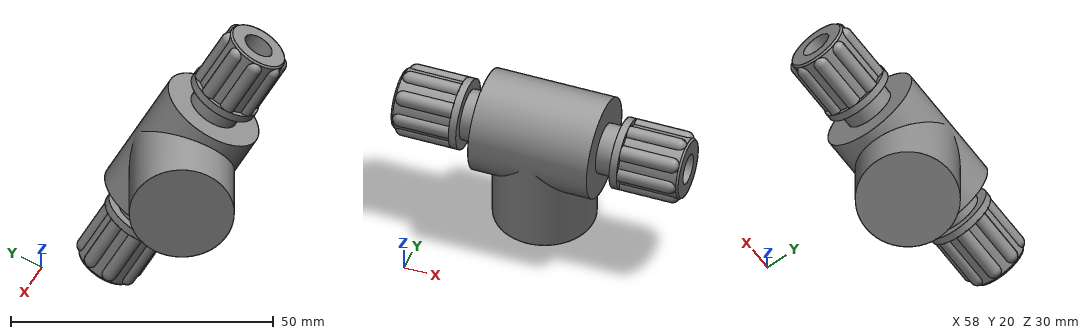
import cadquery as cq

body_diameter = 20.0
body_length = 24.0
branch_depth = 20.0

overall_length = 58
neck_diameter = 10.0
cap_length = 13.5
collar_diameter = 14.0
collar_width = 1.5
grip_diameter = 12.0
lip_diameter = 11.4
lip_width = 0.4

rib_count = 8
rib_radius = 1.5
rib_end_inset = 1.8

cap_bore_diameter = 6.0
seat_bore_diameter = 4.0
through_bore_diameter = 3.4
seat_depth = 1.5

half_length = overall_length / 2
cap_start = half_length - cap_length
grip_start = cap_start + collar_width
rib_end = half_length - rib_end_inset
rib_centre_radius = collar_diameter / 2 - rib_radius


def x_cylinder(diameter, start, end):
    """Cylinder on the X axis between two positions."""
    return cq.Workplane("YZ", origin=(start, 0, 0)).circle(diameter / 2).extrude(end - start)


def make_body():
    barrel = x_cylinder(body_diameter, -body_length / 2, body_length / 2)
    branch = cq.Workplane("XY").circle(body_diameter / 2).extrude(-branch_depth)
    neck = x_cylinder(neck_diameter, -cap_start, cap_start)
    return barrel.union(branch).union(neck)


def make_rib():
    rod = cq.Workplane("YZ", origin=(grip_start, 0, rib_centre_radius))
    rod = rod.circle(rib_radius).extrude(rib_end - grip_start)
    tip = cq.Workplane("XY").sphere(rib_radius).translate((rib_end, 0, rib_centre_radius))
    return rod.union(tip)


def make_cap():
    """Ribbed cap on the +X end."""
    cap = x_cylinder(collar_diameter, cap_start, grip_start)
    grip = x_cylinder(grip_diameter, grip_start, half_length)
    lip_step = (grip_diameter - lip_diameter) / 2
    grip = grip.faces(">X").chamfer(lip_width, lip_step)
    cap = cap.union(grip)
    rib = make_rib()
    for index in range(rib_count):
        cap = cap.union(rib.rotate((0, 0, 0), (1, 0, 0), index * 360 / rib_count))
    return cap


def cut_bores(part):
    part = part.cut(x_cylinder(through_bore_diameter, -half_length, half_length))
    for side in (-1, 1):
        part = part.cut(x_cylinder(cap_bore_diameter, side * cap_start, side * half_length))
        seat_end = side * (cap_start - seat_depth)
        part = part.cut(x_cylinder(seat_bore_diameter, seat_end, side * cap_start))
    return part


cap = make_cap()
tee = make_body().union(cap).union(cap.mirror("YZ"))
result = cut_bores(tee)